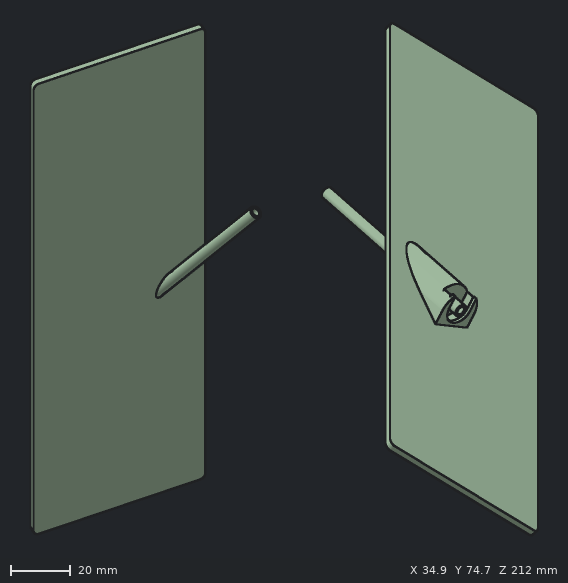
import cadquery as cq

PLATE_THICKNESS = 2.5
PLATE_WIDTH = 63.5
PLATE_HEIGHT = 212.0
PLATE_CORNER_RADIUS = 2.1

AXIS_Y = 15.5
AXIS_Z = -11.2
AXIS_TILT = 22.5
AXIS_LEAN = 30.0

BOSS_WIDTH = 15.7
BOSS_END = -18.9
BOSS_LENGTH = 46.6
BOSS_DEPTH = 25.5
BOSS_DROP = 1.0
POCKET_WIDTH = 11.5
POCKET_LENGTH = 5.3
MOUTH_WIDTH = 10.4
MOUTH_LENGTH = 1.5
POCKET_FLOOR = BOSS_END + POCKET_LENGTH

ROD_DIAMETER = 4.5
ROD_END = -19.5
ROD_TIP = 55.1
ROD_BORE = 3.0


def axis_plane(distance):
    """Plane square to the inclined axis; its local Y points out of the boss side."""
    plane = cq.Plane(origin=(0, AXIS_Y, AXIS_Z), xDir=(0, 1, 0), normal=(0, 0, 1))
    plane = plane.rotated((0, AXIS_LEAN, 0)).rotated((AXIS_TILT, 0, 0))
    plane.origin = plane.toWorldCoords((0, 0, distance))
    return plane


def axis_cylinder(diameter, start, end):
    return cq.Workplane(axis_plane(start)).circle(diameter / 2).extrude(end - start)


def arched_bar(width, straight, start, length, direction, drop=0.0):
    """Bar along the axis: a half round, with straight sides going up (1) or down (-1)."""
    radius = width / 2
    return (
        cq.Workplane(axis_plane(start))
        .center(0, -drop)
        .moveTo(-radius, direction * straight)
        .lineTo(-radius, 0)
        .threePointArc((0, -direction * radius), (radius, 0))
        .lineTo(radius, direction * straight)
        .close()
        .extrude(length)
    )


def make_plate():
    return (
        cq.Workplane("XY")
        .box(PLATE_THICKNESS, PLATE_WIDTH, PLATE_HEIGHT)
        .edges("|X")
        .fillet(PLATE_CORNER_RADIUS)
    )


def make_boss():
    bar = arched_bar(BOSS_WIDTH, BOSS_DEPTH, BOSS_END, BOSS_LENGTH, -1, BOSS_DROP)
    keep = cq.Workplane("XY").box(PLATE_HEIGHT, PLATE_HEIGHT, PLATE_HEIGHT).translate(
        (-(PLATE_HEIGHT + PLATE_THICKNESS) / 2, 0, 0)
    )
    return bar.intersect(keep)


def make_holder():
    """Plate and boss in one piece, with the open pocket and the rod hole."""
    mouth = arched_bar(MOUTH_WIDTH, BOSS_WIDTH, BOSS_END, POCKET_LENGTH, 1)
    pocket = arched_bar(
        POCKET_WIDTH, BOSS_WIDTH, BOSS_END + MOUTH_LENGTH, POCKET_LENGTH - MOUTH_LENGTH, 1
    )
    rod_hole = axis_cylinder(ROD_DIAMETER, POCKET_FLOOR, ROD_TIP)
    return make_plate().union(make_boss()).cut(mouth).cut(pocket).cut(rod_hole)


def make_rod():
    bore = axis_cylinder(ROD_BORE, ROD_END, ROD_TIP)
    return axis_cylinder(ROD_DIAMETER, ROD_END, ROD_TIP).cut(bore)


holder = make_holder()
rod = make_rod()
result = cq.Compound.makeCompound([holder.val(), rod.val()])